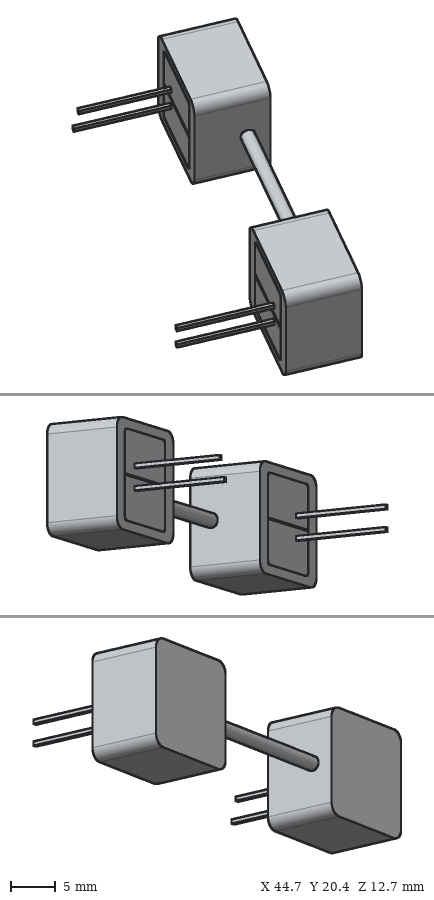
import cadquery as cq

overall_length = 44.7
housing_size = 12.7
housing_depth = 8.95
housing_corner_radius = 1.35
housing_offset = (overall_length - housing_size) / 2

panel_width = 9.0
panel_area_height = 10.4
panel_corner_radius = 0.45
panel_recess = 0.05
panel_divider = 0.15

pin_width = 0.5
pin_length = 11.4
short_pin_length = 10.8
pin_spacing = 2.55
pin_side_inset = 4.3
pin_offset = overall_length / 2 - pin_side_inset

rod_diameter = 1.7
rod_from_back = 2.7


def block(width, depth, height, x, front_y, z=0):
    """Box centred in X and Z, running back from front_y toward +Y."""
    return (
        cq.Workplane("XY")
        .box(width, depth, height, centered=(True, False, True))
        .translate((x, front_y, z))
    )


def housing(x):
    """Rounded housing with a two-part recessed panel on its front face (Y = 0)."""
    body = block(housing_size, housing_depth, housing_size, x, 0).edges("|Y").fillet(housing_corner_radius)
    panels = block(panel_width, panel_recess, panel_area_height, x, 0).edges("|Y").fillet(panel_corner_radius)
    divider = block(panel_width, panel_recess, panel_divider, x, 0)
    return body.cut(panels.cut(divider))


def pin(x, z, length):
    """Square pin rooted just behind the panel floor."""
    return block(pin_width, length + 2 * panel_recess, pin_width, x, -length, z)


def rod():
    """Round rod spanning the gap, with its ends inside the housings."""
    return (
        cq.Workplane("YZ", origin=(-housing_offset, housing_depth - rod_from_back, 0))
        .circle(rod_diameter / 2)
        .extrude(2 * housing_offset)
    )


result = rod()
for side in (-1, 1):
    result = result.union(housing(side * housing_offset))
    for level in (-1, 1):
        length = short_pin_length if (side, level) == (-1, 1) else pin_length
        result = result.union(pin(side * pin_offset, level * pin_spacing / 2, length))